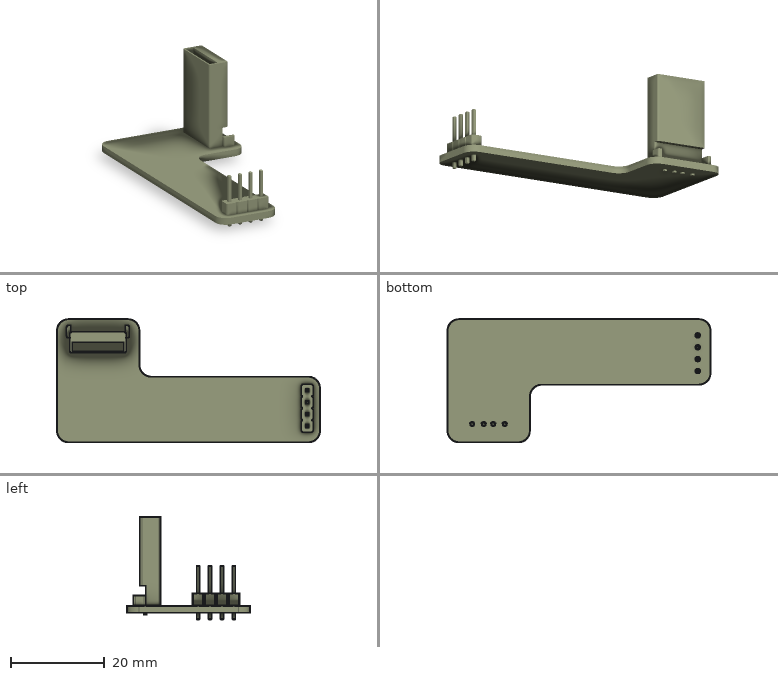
import cadquery as cq

board_length = 56.15
board_width = 26.35
board_thickness = 1.5
seat_gap = 0.1
board_corner_radius = 2.5
head_length = 17.65
arm_width = 14.05

connector_center_x = 8.75
connector_width = 12.0
connector_depth = 4.5
connector_back_y = 23.6
connector_top_z = 20.5
connector_corner_radius = 0.42
slot_width = 11.0
slot_depth_y = 1.9
slot_front_wall = 0.35
recess_depth = 1.3
recess_height = 4.15
tab_span = 13.4
tab_thickness = 0.9
tab_length = 2.7
tab_height = 2.15
tab_corner_radius = 0.45
contact_side = 0.6
contact_protrusion = 0.35
contact_y = 22.4
contact_hole_diameter = 0.9
contact_inner_offset = 1.0
contact_outer_offset = 3.5

pin_count = 4
header_length = 10.15
header_height = 2.5
header_center_x = 53.4
header_center_y = 7.3
header_corner_chamfer = 0.25
pin_side = 0.7
pin_tip_chamfer = 0.15
pin_top_z = 10.1
pin_bottom_z = -1.4
pin_hole_diameter = 1.0

seat_z = board_thickness + seat_gap
pin_pitch = header_length / pin_count
connector_front_y = connector_back_y - connector_depth
recess_wall_y = connector_back_y - recess_depth
recess_top_z = seat_z + recess_height
contact_places = [
    (connector_center_x + offset, contact_y)
    for offset in (-contact_outer_offset, -contact_inner_offset, contact_inner_offset, contact_outer_offset)
]
pin_places = [
    (header_center_x, header_center_y + (index - (pin_count - 1) / 2) * pin_pitch)
    for index in range(pin_count)
]


def block(size_x, size_y, bottom_z, top_z, center):
    """Upright block centred on an (x, y) place, between two heights."""
    return (
        cq.Workplane("XY", origin=(center[0], center[1], bottom_z))
        .rect(size_x, size_y)
        .extrude(top_z - bottom_z)
    )


def make_board():
    board = (
        cq.Workplane("XY")
        .polyline([
            (0, 0),
            (board_length, 0),
            (board_length, arm_width),
            (head_length, arm_width),
            (head_length, board_width),
            (0, board_width),
        ])
        .close()
        .extrude(board_thickness)
        .edges("|Z")
        .fillet(board_corner_radius)
    )
    for places, diameter in ((contact_places, contact_hole_diameter), (pin_places, pin_hole_diameter)):
        holes = cq.Workplane("XY").pushPoints(places).circle(diameter / 2).extrude(board_thickness)
        board = board.cut(holes)
    return board


def make_tab(side):
    """Tab behind the connector: side -1 is the left one, +1 the right one."""
    center_x = connector_center_x + side * (tab_span - tab_thickness) / 2
    center_y = recess_wall_y + tab_length / 2
    tab = block(tab_thickness, tab_length, seat_z, seat_z + tab_height, (center_x, center_y))
    outer_edges = "|Z and <X" if side < 0 else "|Z and >X"
    return tab.edges(outer_edges).fillet(tab_corner_radius)


def make_connector():
    center_y = connector_back_y - connector_depth / 2
    connector = (
        block(connector_width, connector_depth, seat_z, connector_top_z, (connector_center_x, center_y))
        .edges("|Z")
        .fillet(connector_corner_radius)
    )

    slot_center_y = connector_front_y + slot_front_wall + slot_depth_y / 2
    slot = block(slot_width, slot_depth_y, recess_top_z, connector_top_z, (connector_center_x, slot_center_y))

    recess_center_y = recess_wall_y + recess_depth / 2
    recess = block(
        connector_width, recess_depth, seat_z, recess_top_z, (connector_center_x, recess_center_y)
    )
    connector = connector.cut(slot).cut(recess)

    for side in (-1, 1):
        connector = connector.union(make_tab(side))
    for place in contact_places:
        contact = block(contact_side, contact_side, -contact_protrusion, seat_z, place)
        connector = connector.union(contact)
    return connector


def make_header():
    header = None
    for place in pin_places:
        segment = (
            block(pin_pitch, pin_pitch, seat_z, seat_z + header_height, place)
            .edges("|Z")
            .chamfer(header_corner_chamfer)
        )
        pin = (
            block(pin_side, pin_side, pin_bottom_z, pin_top_z, place)
            .faces("<Z or >Z")
            .chamfer(pin_tip_chamfer)
        )
        segment = segment.union(pin)
        header = segment if header is None else header.union(segment)
    return header


board = make_board()
connector = make_connector()
header = make_header()

result = cq.Compound.makeCompound([board.val(), connector.val(), header.val()])